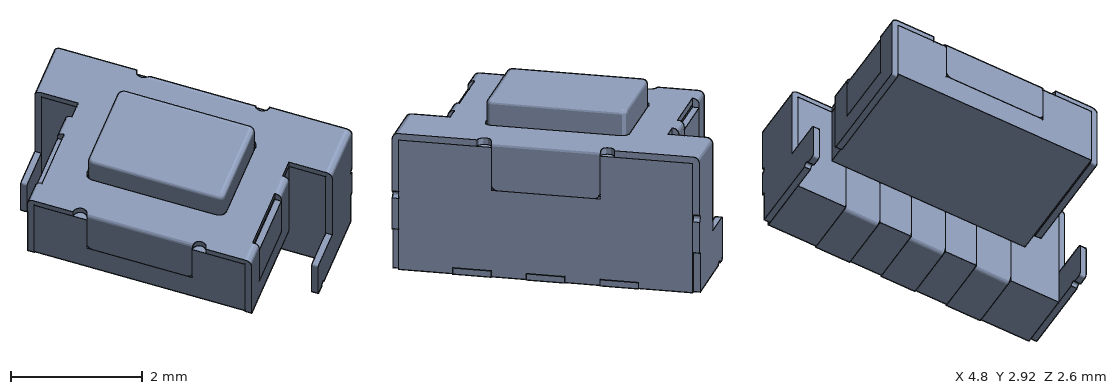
import cadquery as cq

SHIELD_WIDTH = 4.8
SHIELD_DEPTH = 2.9
SHIELD_TOP = 2.2
SHEET = 0.105
BEND_RADIUS = 0.1

BACK_Y = SHIELD_DEPTH / 2
FRONT_Y = -BACK_Y
INNER_TOP = SHIELD_TOP - SHEET

WING_FRONT_Y = 0.55
WING_INNER_X = SHIELD_WIDTH / 2 - SHEET
FOOT_FRONT_Y = -0.1
FOOT_TOP = 0.7
FOOT_CORNER_RADIUS = 0.05
FOOT_GROOVE_Y = 0.125
FOOT_GROOVE_RADIUS = 0.05
REAR_NICK_Z = 1.205
REAR_NICK_RADIUS = 0.055
REAR_RELIEF_DEPTH = 0.055
REAR_RELIEF_HEIGHT = 0.65
REAR_RELIEF_CORNER_RADIUS = 0.03

BLOCK_HALF_WIDTH = 1.7
BLOCK_BOTTOM = 0.945
CHEEK_OUTER_X = BLOCK_HALF_WIDTH + SHEET
CHEEK_REAR_Y = 0.27
CHEEK_BOTTOM = 0.9
CHEEK_CORNER_RADIUS = 0.04
LATCH_LENGTH = 1.0
LATCH_Y = (FRONT_Y + CHEEK_REAR_Y) / 2
LATCH_BOTTOM = 1.285
LATCH_TOP = 2.055

TAB_HALF_WIDTH = 0.85
TAB_BOTTOM = 1.4
TAB_CORNER_RADIUS = 0.1
NICK_RADIUS = 0.11
NICK_X = TAB_HALF_WIDTH + NICK_RADIUS

BUTTON_WIDTH = 2.2
BUTTON_DEPTH = 1.5
BUTTON_TOP = 2.6
BUTTON_CORNER_RADIUS = 0.1
BUTTON_EDGE_RADIUS = 0.08
BUTTON_GAP = 0.025

TERMINAL_PITCH = 1.15
TERMINAL_COUNT = 3
TERMINAL_WIDTH = 0.6
TERMINAL_SHEET = 0.1
TERMINAL_OVERHANG = 0.02


def box(x0, x1, y0, y1, z0, z1):
    """Box between two opposite corners."""
    return cq.Workplane("XY").box(x1 - x0, y1 - y0, z1 - z0, centered=False).translate((x0, y0, z0))


def both_sides(body):
    """The body together with its mirror image across the X = 0 plane."""
    return body.union(body.mirror("YZ"))


def front_and_rear(body):
    """The body together with its mirror image across the Y = 0 plane."""
    return body.union(body.mirror("XZ"))


def cylinder_x(radius, y, z, half_length):
    """Cylinder along X, centred on X = 0."""
    return cq.Workplane("YZ").center(y, z).circle(radius).extrude(half_length, both=True)


def bent_cover(half_width, y0, y1, z0):
    """Solid block under the shield's top with its two long upper edges rounded."""
    return box(-half_width, half_width, y0, y1, z0, SHIELD_TOP).edges("|Y and >Z").fillet(BEND_RADIUS)


def make_wings():
    """Rear part of the shield: the wide top sheet and both side walls with their feet."""
    wing = bent_cover(SHIELD_WIDTH / 2, WING_FRONT_Y, BACK_Y, 0)
    foot = box(-SHIELD_WIDTH / 2, SHIELD_WIDTH / 2, FOOT_FRONT_Y, WING_FRONT_Y, 0, FOOT_TOP)
    foot = foot.edges("|X and <Y").fillet(FOOT_CORNER_RADIUS)
    wings = wing.union(foot)
    wings = wings.cut(box(-WING_INNER_X, WING_INNER_X, FOOT_FRONT_Y, BACK_Y, 0, INNER_TOP))
    half = SHIELD_WIDTH / 2
    wings = wings.cut(cylinder_x(FOOT_GROOVE_RADIUS, FOOT_GROOVE_Y, 0, half))
    wings = wings.cut(cylinder_x(REAR_NICK_RADIUS, BACK_Y, REAR_NICK_Z, half))
    relief = box(-half, half, BACK_Y - REAR_RELIEF_DEPTH, BACK_Y, 0, REAR_RELIEF_HEIGHT)
    return wings.cut(relief.edges("|X and <Y and >Z").fillet(REAR_RELIEF_CORNER_RADIUS))


def latch_block(top):
    """Block as long and thick as the +X cheek's latch window, from its sill up to the given height."""
    return box(
        BLOCK_HALF_WIDTH, CHEEK_OUTER_X,
        LATCH_Y - LATCH_LENGTH / 2, LATCH_Y + LATCH_LENGTH / 2,
        LATCH_BOTTOM, top,
    )


def make_cheeks():
    """Front part of the shield: the top sheet and both cheeks."""
    cheeks = bent_cover(CHEEK_OUTER_X, FRONT_Y, CHEEK_REAR_Y, CHEEK_BOTTOM)
    cheeks = cheeks.edges("|X and <Z").fillet(CHEEK_CORNER_RADIUS)
    block_room = box(-BLOCK_HALF_WIDTH, BLOCK_HALF_WIDTH, FRONT_Y, CHEEK_REAR_Y, CHEEK_BOTTOM, INNER_TOP)
    cheeks = cheeks.cut(block_room)
    return cheeks.cut(both_sides(latch_block(SHIELD_TOP)))


def make_nicks():
    """Four round reliefs through the top sheet at the ends of the tabs."""
    return (
        cq.Workplane("XY", origin=(0, 0, INNER_TOP))
        .rect(2 * NICK_X, SHIELD_DEPTH, forConstruction=True)
        .vertices().circle(NICK_RADIUS).extrude(SHEET)
    )


def bend_blank():
    """Square front edge of the top sheet, from nick to nick."""
    return box(-NICK_X, NICK_X, FRONT_Y, FRONT_Y + SHEET, INNER_TOP, SHIELD_TOP)


def make_bend():
    """Front edge of the top sheet, rounded where the tab bends down."""
    return bend_blank().edges("|X and >Z and <Y").fillet(BEND_RADIUS)


def tab_pocket():
    """Square-cornered room for the front tab below the top sheet."""
    return box(-TAB_HALF_WIDTH, TAB_HALF_WIDTH, FRONT_Y, FRONT_Y + SHEET, TAB_BOTTOM, INNER_TOP)


def make_tab():
    """Front tab below the bend, with rounded lower corners."""
    return tab_pocket().edges("|Y and <Z").fillet(TAB_CORNER_RADIUS)


def make_shield():
    """Bent sheet-metal cover with a window for the button."""
    bridge = box(-BLOCK_HALF_WIDTH, BLOCK_HALF_WIDTH, FRONT_Y, WING_FRONT_Y, INNER_TOP, SHIELD_TOP)
    shield = make_wings().union(make_cheeks()).union(bridge)
    shield = shield.cut(front_and_rear(bend_blank())).union(front_and_rear(make_bend()))
    shield = shield.cut(make_nicks()).union(front_and_rear(make_tab()))
    window = box(
        -BUTTON_WIDTH / 2 - BUTTON_GAP, BUTTON_WIDTH / 2 + BUTTON_GAP,
        -BUTTON_DEPTH / 2 - BUTTON_GAP, BUTTON_DEPTH / 2 + BUTTON_GAP,
        INNER_TOP, SHIELD_TOP,
    )
    return shield.cut(window.edges("|Z").fillet(BUTTON_CORNER_RADIUS + BUTTON_GAP))


def make_button():
    """Key cap resting on top of the housing."""
    button = (
        cq.Workplane("XY", origin=(0, 0, INNER_TOP))
        .rect(BUTTON_WIDTH, BUTTON_DEPTH).extrude(BUTTON_TOP - INNER_TOP)
        .edges("|Z").fillet(BUTTON_CORNER_RADIUS)
    )
    return button.faces(">Z").edges().fillet(BUTTON_EDGE_RADIUS)


def terminal_blank(x):
    """Square-cornered L: a leg up to the block and a foot along the bottom to the rear."""
    x0 = x - TERMINAL_WIDTH / 2
    x1 = x + TERMINAL_WIDTH / 2
    leg = box(x0, x1, WING_FRONT_Y, WING_FRONT_Y + TERMINAL_SHEET, 0, BLOCK_BOTTOM)
    foot = box(x0, x1, WING_FRONT_Y, BACK_Y + TERMINAL_OVERHANG, 0, TERMINAL_SHEET)
    return leg.union(foot)


def make_terminal(x):
    """Terminal bent to a round outer corner, its leg flush with the front of the housing base."""
    return terminal_blank(x).edges("|X and <Y and <Z").fillet(BEND_RADIUS)


def make_housing(terminal_xs):
    """Moulded body: a wide base at the rear and a raised block at the front."""
    base = box(-WING_INNER_X, WING_INNER_X, WING_FRONT_Y, BACK_Y, 0, INNER_TOP)
    block = box(-BLOCK_HALF_WIDTH, BLOCK_HALF_WIDTH, FRONT_Y, WING_FRONT_Y, BLOCK_BOTTOM, INNER_TOP)
    housing = base.union(block).union(both_sides(latch_block(LATCH_TOP)))
    housing = housing.cut(front_and_rear(tab_pocket()))
    for x in terminal_xs:
        housing = housing.cut(terminal_blank(x))
    return housing


terminal_xs = [TERMINAL_PITCH * (i - (TERMINAL_COUNT - 1) / 2) for i in range(TERMINAL_COUNT)]

shield = make_shield()
button = make_button()
housing = make_housing(terminal_xs)
terminals = [make_terminal(x) for x in terminal_xs]

result = cq.Compound.makeCompound(
    [shield.val(), button.val(), housing.val(), *[terminal.val() for terminal in terminals]]
)